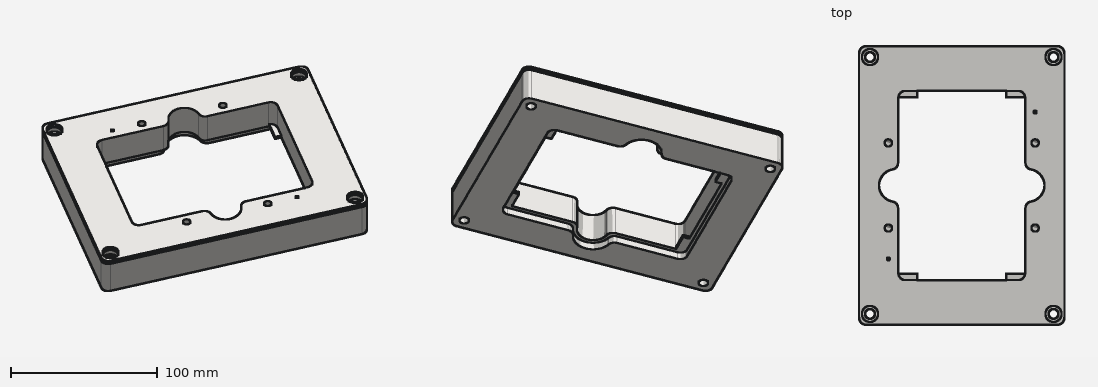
import cadquery as cq
import math

LENGTH_X = 140.0
LENGTH_Y = 190.0
HEIGHT = 29.0
CORNER_RADIUS = 5.0

PLATE_THICKNESS = 2.0
GROOVE_WIDTH = 1.0
CORE_X = 120.0
CORE_Y = 160.0

OPENING_X = 86.5
OPENING_Y = 129.0
OPENING_RADIUS = 5.0
NOTCH_RADIUS = 11.0
NOTCH_CENTER_X = 45.25

RECESS_DEPTH = 6.0
RECESS_OFFSET = 2.75

TAB_X = 13.0
TAB_Y = 4.5
TAB_THICKNESS = 2.0

SCREW_INSET = 7.5
SCREW_DIAMETER = 6.5
COUNTERBORE_DIAMETER = 11.0
COUNTERBORE_DEPTH = 7.0

DRILL_X = 50.0
DRILL_Y = 29.0
DRILL_DIAMETER = 5.0
DRILL_DEPTH = 12.0
DRILL_POINT_ANGLE = 118.0

PIN_X = 50.0
PIN_Y = 50.0
PIN_DIAMETER = 2.0
PIN_DEPTH = 5.0


def rounded_block(size_x, size_y, height, radius):
    """Block standing on Z = 0 with rounded vertical edges."""
    return cq.Workplane("XY").rect(size_x, size_y).extrude(height).edges("|Z").fillet(radius)


def make_groove():
    """Ring-shaped slot running around the block just below the cover plate."""
    return (
        cq.Workplane("XY")
        .workplane(offset=HEIGHT - PLATE_THICKNESS - GROOVE_WIDTH)
        .rect(LENGTH_X, LENGTH_Y)
        .rect(CORE_X, CORE_Y)
        .extrude(GROOVE_WIDTH)
    )


def make_opening(height, growth=0.0):
    """Prism of the opening: a rectangle with two notches, all corners rounded.

    The walls move outwards by growth while the corner radius stays the same.
    """
    notch_radius = NOTCH_RADIUS + growth
    notches = (
        cq.Workplane("XY")
        .pushPoints([(-NOTCH_CENTER_X, 0), (NOTCH_CENTER_X, 0)])
        .circle(notch_radius)
        .extrude(height)
    )
    prism = (
        cq.Workplane("XY")
        .rect(OPENING_X + 2 * growth, OPENING_Y + 2 * growth)
        .extrude(height)
        .union(notches)
    )
    reach_x = NOTCH_CENTER_X + notch_radius / 2
    corners = cq.selectors.BoxSelector((-reach_x, -OPENING_Y, 0), (reach_x, OPENING_Y, height))
    return prism.edges("|Z").edges(corners).fillet(OPENING_RADIUS)


def make_tabs():
    """Four tabs that fill the ends of the short sides of the opening."""
    spacing_x = OPENING_X - TAB_X
    spacing_y = OPENING_Y - TAB_Y
    return (
        cq.Workplane("XY")
        .workplane(offset=RECESS_DEPTH)
        .rarray(spacing_x, spacing_y, 2, 2)
        .rect(TAB_X, TAB_Y)
        .extrude(TAB_THICKNESS)
    )


def cut_screw_holes(body):
    """Through holes with counterbores, one in each outer corner."""
    return (
        body.faces(">Z")
        .workplane(origin=(0, 0, HEIGHT))
        .rarray(LENGTH_X - 2 * SCREW_INSET, LENGTH_Y - 2 * SCREW_INSET, 2, 2)
        .cboreHole(SCREW_DIAMETER, COUNTERBORE_DIAMETER, COUNTERBORE_DEPTH)
    )


def drilled_hole(x, y):
    """Blind hole with a conical bottom, open at the top face."""
    radius = DRILL_DIAMETER / 2
    tip = radius / math.tan(math.radians(DRILL_POINT_ANGLE / 2))
    return (
        cq.Workplane("XZ")
        .polyline([(0, 0), (radius, 0), (radius, -DRILL_DEPTH), (0, -DRILL_DEPTH - tip)])
        .close()
        .revolve(360, (0, 0), (0, 1))
        .translate((x, y, HEIGHT))
    )


def cut_drilled_holes(body):
    """Four blind holes, symmetric about both centre planes."""
    for x in (-DRILL_X, DRILL_X):
        for y in (-DRILL_Y, DRILL_Y):
            body = body.cut(drilled_hole(x, y))
    return body


def cut_pin_holes(body):
    """Two small blind holes on one diagonal of the top face."""
    return (
        body.faces(">Z")
        .workplane(origin=(0, 0, HEIGHT))
        .pushPoints([(PIN_X, PIN_Y), (-PIN_X, -PIN_Y)])
        .hole(PIN_DIAMETER, PIN_DEPTH)
    )


body = rounded_block(LENGTH_X, LENGTH_Y, HEIGHT, CORNER_RADIUS)
body = body.cut(make_groove())
body = body.cut(make_opening(HEIGHT))
body = body.cut(make_opening(RECESS_DEPTH, RECESS_OFFSET))
body = body.union(make_tabs())
body = cut_screw_holes(body)
body = cut_drilled_holes(body)
result = cut_pin_holes(body)